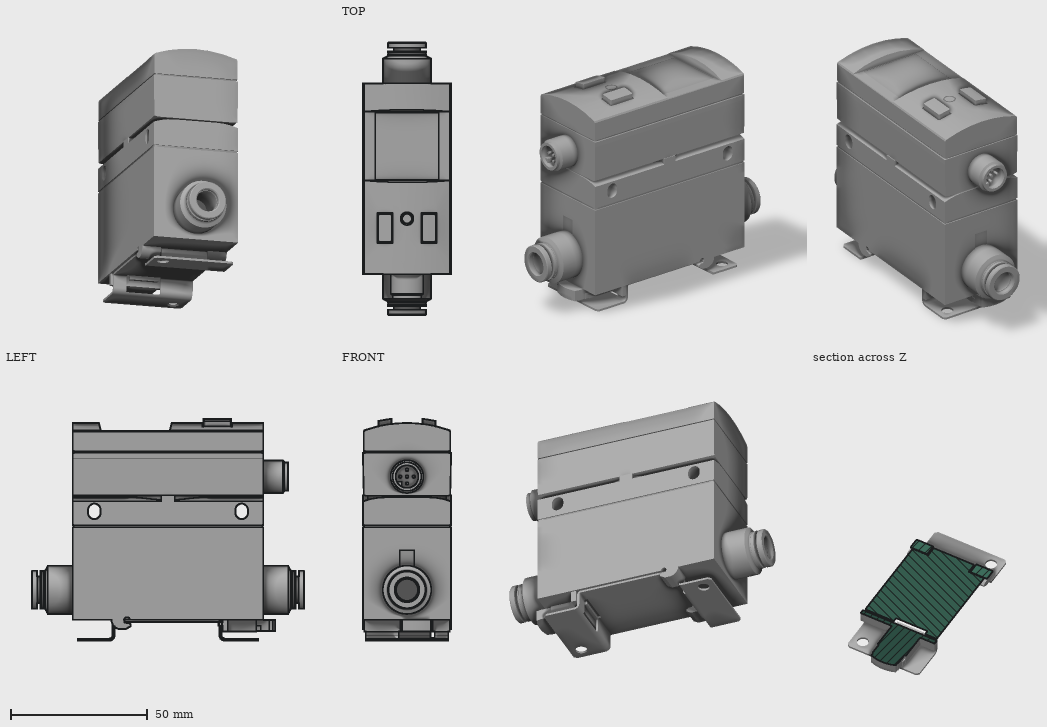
import cadquery as cq
import math

width = 32.3
length = 69.8
half_length = length / 2

base_top = 33.9
manifold_bottom = 34.7
manifold_edge_top = 43.35
manifold_top = 44.8
manifold_flat_half_width = 8
head_bottom = 45.35
head_bevel_height = 0.3
head_bevel_inset = 1.2
head_band_bottom = 59.2
head_top = 61.1
cap_bottom = 61.7
cap_side_top = 68.8
cap_shoulder = 69.4
cap_crown = 72.05

head_bottom_width = 31.7
cap_width = 31.8
cap_shoulder_width = 31.1
shallow_groove_inset = 0.35
cap_groove_inset = 0.5

swivel_diameter = 29.1
lug_length = 5.1

slot_width = 4.5
slot_height = 5.6
slot_z = 39.7
slot_y = 26.95

window_floor = 69.1
window_back = 24.5
window_front = -0.6
window_wall_run = 0.75
screen_width = 23.3
screen_length = 24.5
screen_recess = 0.1

button_width = 4.9
button_length = 10.2
button_x = 8.05
button_y = -18.0
button_top = 73.57
button_corner_radius = 0.5
button_gap = 0.45
button_gap_depth = 0.5
ring_y = -14.6
ring_outer_diameter = 4.7
ring_inner_diameter = 3.5
ring_depth = 0.25

connector_z = 52.4
connector_diameter = 12
connector_lip_diameter = 10.5
connector_barrel_length = 7.1
connector_lip_start = 7.7
connector_length = 9
connector_bore = 8.3
connector_bore_depth = 8
pin_diameter = 1
pin_spacing = 2.5
pin_length = 6
key_corner = 1.9
key_length = 6.8

fitting_z = 11
fitting_diameter = 17.7
barrel_length = 9
shoulder_end = 10
collar_diameter = 14
collar_rib_diameter = 13.8
collar_rib_start = 10.5
collar_rib_end = 11.2
collar_end = 11.8
neck_diameter = 9.8
flange_start = 13
fitting_length = 14.995
flange_chamfer = 0.3
tube_bore = 8.3
tube_stop_bore = 8
tube_mouth_chamfer = 0.4
tube_bore_depth = 2
fitting_bore_depth = 15

label_width = 5.4
label_top = 25.5
label_depth = 0.3

sheet = 0.8
bracket_width = 30.2
bracket_bottom = -7.6
foot_end = 33
foot_corner = 1
foot_hole_diameter = 4.4
foot_hole_x = 10.7
foot_hole_y = 28.6
plate_bend_radius = 1.2
foot_bend_radius = 2
front_leg_y = -18.8
back_leg_y = 19.5
back_leg_width = 17.2
plate_tab_end = 15.9
leg_window_left = -2.95
leg_window_right = 10.1

hook_inner_x = 9
hook_bottom = -3.4
hook_root_y = 20.7
hook_bulge = (19.8, -2.3)
hook_heel_y = 17.7
hook_toe_y = 15.5
hook_tip_y = 13.6
hook_tip_lower_z = -2.3
hook_tip_upper_z = -1.6
hook_throat_y = 14.6
hook_overlap = 0.5
hook_relief_diameter = 2.1
hook_relief_y = 15
hook_slot_height = 0.9

slide_width = 31.3
slide_back = -19.85
crossbar_front = -21.8
slide_bottom = -4.3
stem_left = -2.5
stem_right = 9.5
stem_front = -32.2
handle_left = -2
handle_right = 8.9
handle_bottom = -4.1
handle_step = 0.25
handle_step_y = -37.1
handle_corner_y = -38.3
handle_tip_y = -39.3
rib_left = -2.25
rib_right = 9.25
rib_front = -34
rib_top = -2.2
tongue_end = -18.35
tongue_top = -0.9
tongue_bottom = -2.1


def block(x0, x1, y0, y1, z0, z1):
    return cq.Workplane("XY").box(x1 - x0, y1 - y0, z1 - z0, centered=False).translate((x0, y0, z0))


def slab(total_width, total_length, z0, z1):
    return block(-total_width / 2, total_width / 2, -total_length / 2, total_length / 2, z0, z1)


def crown_radius(chord, rise):
    return (chord ** 2 / 4 + rise ** 2) / (2 * rise)


def along_y(outline):
    """Extrude an XZ outline over the whole housing length, centred on y = 0."""
    return outline.extrude(half_length, both=True)


def along_x(outline, x0, x1):
    return outline.extrude(x1 - x0).translate((x0, 0, 0))


def base():
    groove_width = width - 2 * shallow_groove_inset
    groove_length = length - 2 * shallow_groove_inset
    label_keepout = (cq.Workplane("XZ").center(0, fitting_z).circle(fitting_diameter / 2)
                     .extrude(half_length))
    label = block(-label_width / 2, label_width / 2, -half_length, -half_length + label_depth,
                  fitting_z, label_top).cut(label_keepout)
    groove_core = slab(groove_width, groove_length, base_top, manifold_bottom)
    return slab(width, length, 0, base_top).cut(label).union(groove_core)


def manifold():
    half = width / 2
    flat = manifold_flat_half_width
    radius = crown_radius(2 * (half - flat), manifold_top - manifold_edge_top)
    shoulder_x = (flat + half) / 2
    shoulder_z = manifold_top - radius + math.sqrt(radius ** 2 - (shoulder_x - flat) ** 2)
    outline = (cq.Workplane("XZ").moveTo(-half, manifold_bottom).lineTo(half, manifold_bottom)
               .lineTo(half, manifold_edge_top)
               .threePointArc((shoulder_x, shoulder_z), (flat, manifold_top))
               .lineTo(-flat, manifold_top)
               .threePointArc((-shoulder_x, shoulder_z), (-half, manifold_edge_top)).close())
    slots = (cq.Workplane("YZ").pushPoints([(-slot_y, slot_z), (slot_y, slot_z)])
             .slot2D(slot_height, slot_width, 90).extrude(width, both=True))
    return along_y(outline).cut(slots)


def swivel_joint():
    joint_top = head_bottom + head_bevel_height
    height = joint_top - manifold_edge_top
    disc = cq.Workplane("XY").workplane(offset=manifold_edge_top).circle(swivel_diameter / 2).extrude(height)
    return disc.union(slab(width, lug_length, manifold_edge_top, joint_top))


def head():
    half = width / 2
    half_bottom = head_bottom_width / 2
    half_bevel = half_bottom - head_bevel_inset
    bevel_top = head_bottom + head_bevel_height
    outline = cq.Workplane("XZ").polyline([
        (-half_bevel, head_bottom), (half_bevel, head_bottom), (half_bottom, bevel_top),
        (half, head_band_bottom), (half, head_top), (-half, head_top),
        (-half, head_band_bottom), (-half_bottom, bevel_top)]).close()
    groove_core = slab(cap_width - 2 * cap_groove_inset, length - 2 * cap_groove_inset,
                       head_top, cap_bottom)
    return along_y(outline).union(groove_core)


def cap_body():
    half = cap_width / 2
    shoulder = cap_shoulder_width / 2
    outline = (cq.Workplane("XZ").moveTo(-half, cap_bottom).lineTo(half, cap_bottom)
               .lineTo(half, cap_side_top).lineTo(shoulder, cap_shoulder)
               .threePointArc((0, cap_crown), (-shoulder, cap_shoulder))
               .lineTo(-half, cap_side_top).close())
    return along_y(outline)


def window():
    wall_slope = window_wall_run / (cap_crown - window_floor)
    rise = button_top - window_floor
    run = rise * wall_slope
    outline = cq.Workplane("YZ").polyline([
        (window_front, window_floor), (window_back, window_floor),
        (window_back + run, window_floor + rise), (window_front - run, window_floor + rise)]).close()
    trough = outline.extrude(width, both=True)
    middle = (window_front + window_back) / 2
    screen = slab(screen_width, screen_length, window_floor - screen_recess, window_floor)
    return trough.union(screen.translate((0, middle, 0)))


cap_radius = crown_radius(cap_shoulder_width, cap_crown - cap_shoulder)
cap_axis_z = cap_crown - cap_radius


def crown_cylinder(radius):
    """Cylinder concentric with the arched top of the cap."""
    return (cq.Workplane("XZ").center(0, cap_axis_z).circle(radius)
            .extrude(half_length, both=True))


button_inner_x = button_x - button_width / 2
button_radius = math.hypot(button_inner_x, button_top - cap_axis_z)
groove_floor = crown_cylinder(cap_radius - button_gap_depth)
ring_floor = crown_cylinder(cap_radius - ring_depth)


def button_column(x, margin, corner):
    column = slab(button_width + 2 * margin, button_length + 2 * margin, cap_bottom, button_top)
    return column.edges("|Z").fillet(corner).translate((x, button_y, 0))


def button(x):
    return button_column(x, 0, button_corner_radius).intersect(crown_cylinder(button_radius))


def button_gap_cut(x):
    return button_column(x, button_gap, button_corner_radius).cut(groove_floor)


def indicator_ring_cut():
    ring = (cq.Workplane("XY").workplane(offset=cap_bottom).center(0, ring_y)
            .circle(ring_outer_diameter / 2).circle(ring_inner_diameter / 2)
            .extrude(button_top - cap_bottom))
    return ring.cut(ring_floor)


def cap():
    shell = cap_body().cut(window()).cut(indicator_ring_cut())
    for x in (-button_x, button_x):
        shell = shell.cut(button_gap_cut(x)).union(button(x))
    return shell


def turned(outline_points, z):
    """Revolve (radius, distance) points about an axis that leaves the front face toward -Y."""
    ring = cq.Workplane("XY").polyline(outline_points).close().revolve(360, (0, 0, 0), (0, 1, 0))
    return ring.mirror("XZ").translate((0, -half_length, z))


def connector_body():
    outer = connector_diameter / 2
    lip = connector_lip_diameter / 2
    return turned([(0, 0), (outer, 0), (outer, connector_barrel_length), (lip, connector_lip_start),
                   (lip, connector_length), (0, connector_length)], connector_z)


def connector_cavity():
    radius = connector_bore / 2
    bottom = connector_length - connector_bore_depth
    bore = turned([(0, bottom), (radius, bottom), (radius, connector_length), (0, connector_length)],
                  connector_z)
    key = block(-radius, -key_corner, -half_length - bottom - key_length, -half_length - bottom,
                connector_z - radius, connector_z - key_corner)
    return bore.cut(key)


def connector_pins():
    spots = [(0, 0), (pin_spacing, 0), (-pin_spacing, 0), (0, pin_spacing), (0, -pin_spacing)]
    bottom = connector_length - connector_bore_depth
    pins = cq.Workplane("XZ").pushPoints(spots).circle(pin_diameter / 2).extrude(pin_length)
    return pins.translate((0, -half_length - bottom, connector_z))


def fitting():
    barrel = fitting_diameter / 2
    collar = collar_diameter / 2
    rib = collar_rib_diameter / 2
    neck = neck_diameter / 2
    return turned([
        (0, 0), (barrel, 0), (barrel, barrel_length), (collar, shoulder_end),
        (collar, collar_rib_start), (rib, collar_rib_start), (rib, collar_rib_end),
        (collar, collar_rib_end), (collar, collar_end), (neck, collar_end), (neck, flange_start),
        (collar, flange_start), (collar, fitting_length - flange_chamfer),
        (collar - flange_chamfer, fitting_length), (0, fitting_length)], fitting_z)


def fitting_bore():
    mouth = tube_bore / 2
    stop = tube_stop_bore / 2
    step = fitting_length - tube_bore_depth
    bottom = fitting_length - fitting_bore_depth
    return turned([
        (0, bottom), (stop, bottom), (stop, step), (mouth, step),
        (mouth, fitting_length - tube_mouth_chamfer),
        (mouth + tube_mouth_chamfer, fitting_length), (0, fitting_length)], fitting_z)


def hook(x0, x1):
    outline = (cq.Workplane("YZ").moveTo(hook_root_y, hook_overlap).lineTo(hook_root_y, 0)
               .threePointArc(hook_bulge, (hook_heel_y, hook_bottom)).lineTo(hook_toe_y, hook_bottom)
               .lineTo(hook_tip_y, hook_tip_lower_z).lineTo(hook_tip_y, hook_tip_upper_z)
               .lineTo(hook_throat_y, -hook_slot_height).lineTo(hook_throat_y, hook_overlap).close())
    return along_x(outline, x0, x1)


def hook_relief(x0, x1):
    relief = along_x(cq.Workplane("YZ").center(hook_relief_y, 0).circle(hook_relief_diameter / 2), x0, x1)
    slot = block(x0, x1, 0, plate_tab_end, -hook_slot_height, 0)
    return relief.union(slot)


def make_housing():
    body = base().union(manifold()).union(swivel_joint()).union(head()).union(cap())
    body = body.union(connector_body()).cut(connector_cavity()).union(connector_pins())
    front_fitting = fitting()
    front_bore = fitting_bore()
    body = body.union(front_fitting).union(front_fitting.mirror("XZ"))
    body = body.cut(front_bore).cut(front_bore.mirror("XZ"))
    for x0, x1 in ((-width / 2, -hook_inner_x), (hook_inner_x, width / 2)):
        body = body.union(hook(x0, x1)).cut(hook_relief(x0, x1))
    return body


def bracket_plan():
    """Plan outline of the bracket with chamfered foot corners."""
    plan = slab(bracket_width, 2 * foot_end, bracket_bottom, 0)
    return plan.edges("|Z").chamfer(foot_corner)


def bracket_strip():
    """Bent sheet: plate under the housing, a leg down at each end and a foot outward."""
    foot_top = bracket_bottom + sheet
    inner_front = front_leg_y
    outer_front = front_leg_y - sheet
    inner_back = back_leg_y
    outer_back = back_leg_y + sheet
    outline = cq.Workplane("YZ").polyline([
        (outer_front, 0), (outer_back, 0), (outer_back, foot_top), (foot_end, foot_top),
        (foot_end, bracket_bottom), (inner_back, bracket_bottom), (inner_back, -sheet),
        (inner_front, -sheet), (inner_front, bracket_bottom), (-foot_end, bracket_bottom),
        (-foot_end, foot_top), (outer_front, foot_top)]).close()
    strip = outline.extrude(bracket_width / 2, both=True)
    bends = [
        (plate_bend_radius, [(outer_front, 0), (outer_back, 0)]),
        (plate_bend_radius - sheet, [(inner_front, -sheet), (inner_back, -sheet)]),
        (foot_bend_radius, [(inner_front, bracket_bottom), (inner_back, bracket_bottom)]),
        (foot_bend_radius - sheet, [(outer_front, foot_top), (outer_back, foot_top)])]
    for radius, corners in bends:
        for y, z in corners:
            strip = strip.edges(cq.selectors.NearestToPointSelector((0, y, z))).fillet(radius)
    return strip


def make_bracket():
    foot_top = bracket_bottom + sheet
    strip = bracket_strip().intersect(bracket_plan())
    leg_window = block(leg_window_left, leg_window_right, front_leg_y - foot_bend_radius,
                       front_leg_y + plate_bend_radius, foot_top, 0)
    strip = strip.cut(leg_window)
    leg_relief_end = back_leg_y + foot_bend_radius - sheet
    for side in (-1, 1):
        x0, x1 = sorted((side * back_leg_width / 2, side * width / 2))
        strip = strip.cut(block(x0, x1, plate_tab_end, leg_relief_end, bracket_bottom, 0))
    holes = (cq.Workplane("XY").workplane(offset=bracket_bottom)
             .pushPoints([(-foot_hole_x, -foot_hole_y), (foot_hole_x, foot_hole_y)])
             .circle(foot_hole_diameter / 2).extrude(sheet))
    return strip.cut(holes)


def slide_handle():
    tip_left = handle_left + handle_step
    tip_right = handle_right - handle_step
    outline = (cq.Workplane("XY").workplane(offset=handle_bottom)
               .moveTo(handle_left, stem_front).lineTo(handle_left, handle_step_y)
               .lineTo(tip_left, handle_step_y).lineTo(tip_left, handle_corner_y)
               .threePointArc(((tip_left + tip_right) / 2, handle_tip_y), (tip_right, handle_corner_y))
               .lineTo(tip_right, handle_step_y).lineTo(handle_right, handle_step_y)
               .lineTo(handle_right, stem_front).close())
    return outline.extrude(-handle_bottom)


def make_slide():
    half = slide_width / 2
    crossbar = block(-half, half, crossbar_front, slide_back, slide_bottom, 0)
    stem = block(stem_left, stem_right, stem_front, crossbar_front, slide_bottom, 0)
    rib = block(rib_left, rib_right, rib_front, stem_front, handle_bottom, rib_top)
    tongue = block(handle_left, handle_right, slide_back, tongue_end, tongue_bottom, tongue_top)
    return crossbar.union(stem).union(slide_handle()).union(rib).union(tongue)


housing = make_housing()
bracket = make_bracket()
slide = make_slide()
result = cq.Compound.makeCompound([body.solids().val() for body in (housing, bracket, slide)])